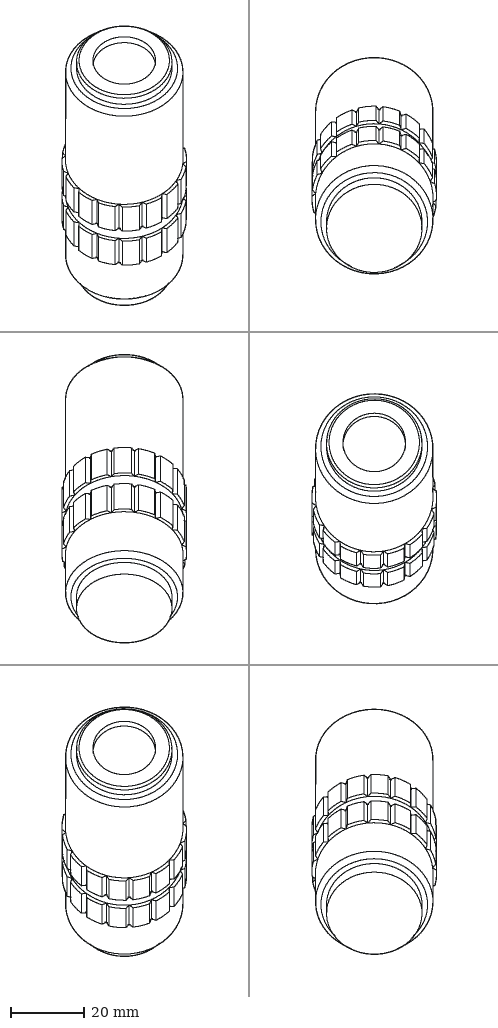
import cadquery as cq

total_height = 87.0
body_diameter = 32.0
body_bottom = 4.6
body_top = 83.8
body_chamfer = 1.5

neck_diameter = 26.0
neck_chamfer = 0.7

recess_diameter = 17.05
recess_depth = 2.4

band_diameter = 34.0
band_height = 10.0
lower_band_bottom = 21.4
band_spacing = 14.2
band_count = 2
groove_count = 16

body_radius = body_diameter / 2
band_radius = band_diameter / 2


def cylinder(diameter, bottom, height):
    """Upright cylinder centred on the Z axis."""
    return cq.Workplane("XY").workplane(offset=bottom).circle(diameter / 2).extrude(height)


def make_barrel():
    """Chamfered body with a neck running out of each end."""
    body = cylinder(body_diameter, body_bottom, body_top - body_bottom)
    body = body.faces("<Z or >Z").chamfer(body_chamfer)
    neck = cylinder(neck_diameter, 0, total_height).faces(">Z").chamfer(neck_chamfer)
    return body.union(neck)


def make_grip_band(bottom):
    """Ring with 90 degree V-grooves whose roots touch the body surface."""
    band = cylinder(band_diameter, bottom, band_height)
    cutter_depth = 2 * (band_radius - body_radius)
    cutter = (
        cq.Workplane("XY")
        .workplane(offset=bottom)
        .moveTo(body_radius, 0)
        .lineTo(body_radius + cutter_depth, cutter_depth)
        .lineTo(body_radius + cutter_depth, -cutter_depth)
        .close()
        .extrude(band_height)
    )
    for index in range(groove_count):
        angle = index * 360 / groove_count
        band = band.cut(cutter.rotate((0, 0, 0), (0, 0, 1), angle))
    return band


result = make_barrel()
for index in range(band_count):
    result = result.union(make_grip_band(lower_band_bottom + index * band_spacing))

recess = cylinder(recess_diameter, total_height - recess_depth, recess_depth)
result = result.cut(recess)